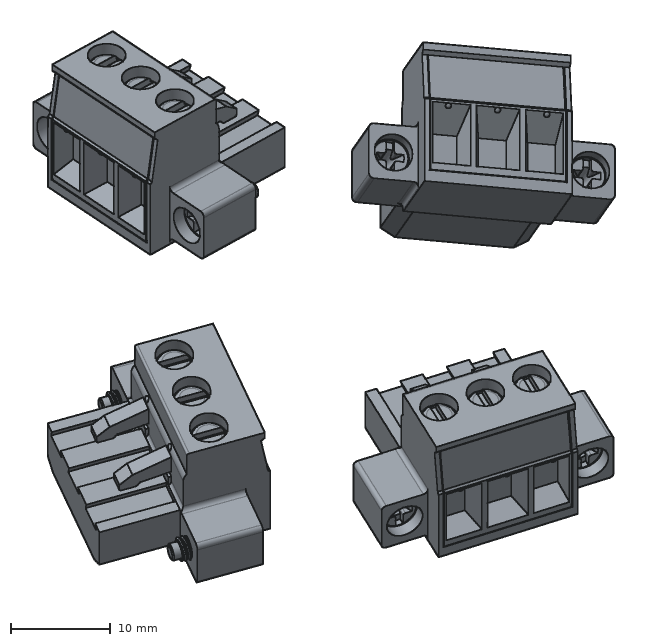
import cadquery as cq
import math


pole_count = 3
pole_pitch = 5.08
body_width = 15.25
body_height = 15.1
body_rear = 8.92
shelf_rear = 9.3
flange_rear = 9.63
foot_chamfer = 0.18
top_rounding = 0.25

front_face_top = 8.85
slope_foot_y = 0.23
slope_foot_z = 9.07
slope_head_y = 1.0
slope_head_z = 13.92
brow_y = 0.58
brow_z = 14.3

bulge_top = 12.01
bulge_foot = 11.02

plug_tip = 18.2
plug_bottom = 0.85
plug_top = 6.73
plug_bevel_height = 0.9
plug_bevel_width = 1.52
plug_rib_width = 2.45
plug_end_rib = 1.25
channel_depth = 0.75
channel_undercut = 0.2

overall_width = 25.4
flange_front = 2.62
flange_rounding = 0.5
shelf_foot = plug_top + flange_rounding
flange_middle_z = (plug_bottom + plug_top) / 2

insert_middle = -0.03
insert_width = 13.92
insert_bottom = 1.3
groove_half_width = 7.09
groove_bottom = 1.22
groove_floor_y = 1.27

mouth_width = 4.47
mouth_bottom = 2.05
mouth_top = 8.59
mouth_limit = 6.73
entry_end_width = 2.87
entry_end_bottom = 2.85
entry_end_top = 6.05
entry_depth = 2.45
tip_radius = 0.43

clamp_y = 5.65
clamp_radius = 1.9
clamp_depth = 1.02
clamp_rounding = 0.53
clamp_slot_width = 0.81
clamp_slot_depth = 0.81

flange_screw_x = 10.15
flange_screw_radius = 1.95
flange_screw_depth = 1.35
flange_screw_rounding = 0.08
head_gap = 0.1
cross_slot_width = 0.85
cross_slot_depth = 0.75
cross_arm_width = 0.75
cross_arm_reach = 1.42
cross_floor_reach = 1.1
cross_corner = 0.25
thread_root_radius = 1.07
thread_crest_radius = 1.3
thread_pitch = 0.45
thread_turns = 3
thread_base = 0.4
thread_overlap = 0.08
thread_runout = 0.1
thread_end = 10.65
pilot_radius = 0.9
pilot_end = 11.63
pilot_chamfer = 0.15

latch_x = 3.35
latch_width = 1.63
latch_root_y = 9.02
latch_root_top = 11.05
latch_root_bottom = 8.76
latch_bend_y = 13.44
latch_bend_z = 9.85
latch_tip_y = 14.83
latch_nose_z = 8.86
latch_tip_bevel = 0.13
latch_hook_y = 13.03
latch_hook_z = 7.95
latch_throat_y = 12.6
latch_throat_z = 8.4
latch_stop_top = 7.98
button_radius = 0.43
button_y = 8.95
button_z = 11.45

pole_positions = [(i - (pole_count - 1) / 2) * pole_pitch for i in range(pole_count)]


def span_box(x0, x1, y0, y1, z0, z1):
    """Box given by its limits along each axis."""
    return cq.Workplane("XY").box(x1 - x0, y1 - y0, z1 - z0, centered=False).translate((x0, y0, z0))


def side_prism(points, middle_x, width):
    """Prism along X whose (y, z) outline is given."""
    prism = cq.Workplane("YZ").polyline(points).close().extrude(width / 2, both=True)
    return prism.translate((middle_x, 0, 0))


def make_body(width):
    """Side outline of the body, extruded to the given width."""
    bulge = shelf_rear - body_rear
    rise = bulge_top - bulge_foot
    bulge_radius = (bulge**2 + rise**2) / (2 * bulge)
    half_angle = math.asin(rise / bulge_radius) / 2
    swell_y = shelf_rear - bulge_radius * (1 - math.cos(half_angle))
    swell_z = bulge_foot + bulge_radius * math.sin(half_angle)
    cove_y = shelf_rear + flange_rounding
    cove_end_z = shelf_foot - math.sqrt(flange_rounding**2 - (cove_y - flange_rear) ** 2)
    outline = (
        cq.Workplane("YZ")
        .polyline([
            (0, 0),
            (0, front_face_top),
            (slope_foot_y, slope_foot_z),
            (slope_head_y, slope_head_z),
            (brow_y, brow_z),
            (brow_y, body_height),
            (body_rear - top_rounding, body_height),
        ])
        .tangentArcPoint((body_rear, body_height - top_rounding), relative=False)
        .lineTo(body_rear, bulge_top)
        .threePointArc((swell_y, swell_z), (shelf_rear, bulge_foot))
        .lineTo(shelf_rear, shelf_foot)
        .tangentArcPoint((flange_rear, cove_end_z), relative=False)
        .lineTo(flange_rear, plug_bottom)
        .lineTo(body_rear, plug_bottom)
        .lineTo(body_rear, foot_chamfer)
        .lineTo(body_rear - foot_chamfer, 0)
        .close()
    )
    return outline.extrude(width / 2, both=True)


def make_plug():
    """Plug with dovetail channels along its top and bevelled lower edges."""
    half = body_width / 2
    plug = span_box(-half, half, body_rear, plug_tip, plug_bottom, plug_top)
    for x in (-half, half):
        bevel = cq.Workplane("XZ", origin=(0, plug_tip, plug_bottom)).polyline([
            (x, 0),
            (x, plug_bevel_height),
            (x - math.copysign(plug_bevel_width, x), 0),
        ])
        plug = plug.cut(bevel.close().extrude(plug_tip - flange_rear))
    channel_width = pole_pitch - plug_rib_width
    outer_channel_edge = half - plug_end_rib
    rib_edge = pole_pitch / 2 + plug_rib_width / 2
    channels = [
        (-outer_channel_edge, -rib_edge),
        (-channel_width / 2, channel_width / 2),
        (rib_edge, outer_channel_edge),
    ]
    floor_z = plug_top - channel_depth
    for left, right in channels:
        outline = [
            (left, plug_top),
            (right, plug_top),
            (right + channel_undercut, floor_z),
            (left - channel_undercut, floor_z),
        ]
        channel = cq.Workplane("XZ").polyline(outline).close().extrude(-(plug_tip - flange_rear))
        plug = plug.cut(channel.translate((0, flange_rear, 0)))
    return plug


def make_flanges():
    """Bar with rounded ends across the body, blended into its sides by concave fillets."""
    bar_end = overall_width / 2
    blend_start = body_width / 2
    blend_end = blend_start + flange_rounding
    bar = span_box(-bar_end, bar_end, flange_front, flange_rear, plug_bottom, plug_top)
    bar = bar.edges("|Y").fillet(flange_rounding)
    blend = span_box(-blend_end, blend_end, flange_front, flange_rear,
                     plug_bottom - flange_rounding, plug_top + flange_rounding)
    for x in (-blend_end, blend_end):
        for z in (plug_bottom - flange_rounding, plug_top + flange_rounding):
            round_off = cq.Workplane("XZ", origin=(x, flange_front, z)).circle(flange_rounding)
            blend = blend.cut(round_off.extrude(flange_front - flange_rear))
    blend = blend.intersect(make_body(2 * blend_end))
    return bar.union(blend)


def make_latch(x):
    """Latch arm, the stop below its root and the round button above it."""
    arm_outline = [
        (latch_root_y, latch_root_top),
        (latch_bend_y, latch_bend_z),
        (latch_tip_y, latch_nose_z),
        (latch_tip_y, latch_hook_z + latch_tip_bevel),
        (latch_tip_y - latch_tip_bevel, latch_hook_z),
        (latch_hook_y, latch_hook_z),
        (latch_throat_y, latch_throat_z),
        (latch_root_y, latch_root_bottom),
    ]
    arm = side_prism(arm_outline, x, latch_width)
    stop = span_box(x - latch_width / 2, x + latch_width / 2, body_rear, flange_rear,
                    plug_top - channel_depth, latch_stop_top)
    button = cq.Workplane("XY").sphere(button_radius).translate((x, button_y, button_z))
    return arm.union(stop).union(button)


def make_insert_groove():
    """Gap between the frame opening and the insert that fills it."""
    half = insert_width / 2
    opening = span_box(-groove_half_width, groove_half_width, 0, groove_floor_y,
                       groove_bottom, slope_head_z)
    insert = span_box(insert_middle - half, insert_middle + half, 0, groove_floor_y,
                      insert_bottom, slope_head_z)
    return opening.cut(insert)


def make_wire_entry(pole_x):
    """Tapered funnel; the outer poles have their mouths trimmed by the edge of the insert."""
    left = max(pole_x - mouth_width / 2, -mouth_limit)
    right = min(pole_x + mouth_width / 2, mouth_limit)
    mouth_z = (mouth_bottom + mouth_top) / 2
    end_z = (entry_end_bottom + entry_end_top) / 2
    return (
        cq.Workplane("XZ")
        .center((left + right) / 2, mouth_z)
        .rect(right - left, mouth_top - mouth_bottom)
        .workplane(offset=-entry_depth)
        .center(pole_x - (left + right) / 2, end_z - mouth_z)
        .rect(entry_end_width, entry_end_top - entry_end_bottom)
        .loft(ruled=True)
        .translate((insert_middle, 0, 0))
    )


def make_head_recess(radius, depth, rounding):
    """Hole with its mouth at Z = 0 that leaves a round-edged screw head standing on its floor."""
    hole = cq.Workplane("XY").circle(radius).extrude(-depth - rounding)
    head = cq.Workplane("XY").workplane(offset=-depth - 2 * rounding).circle(radius - head_gap)
    head = head.extrude(2 * rounding).faces(">Z").edges().fillet(rounding)
    return hole.cut(head)


def make_clamp_recess(x):
    """Hole over a clamping screw, with a straight slot in the screw head."""
    recess = make_head_recess(clamp_radius, clamp_depth, clamp_rounding)
    head_radius = clamp_radius - head_gap
    slot_floor = clamp_depth + clamp_slot_depth
    slot = cq.Workplane("XY").rect(clamp_slot_width, 2 * head_radius).extrude(-slot_floor)
    slot = slot.intersect(cq.Workplane("XY").circle(head_radius).extrude(-slot_floor))
    return recess.union(slot).translate((x, clamp_y, body_height))


def make_clamp_tip(x):
    """Round tip that shows below the ceiling of a wire entry, just behind its mouth."""
    return cq.Workplane("XY").sphere(tip_radius).translate((x + insert_middle, tip_radius, mouth_top))


def make_flange_recess(x):
    """Screw head recess with a straight slot and a conical cross, opening toward -Y."""
    recess = make_head_recess(flange_screw_radius, flange_screw_depth, flange_screw_rounding)
    radius = flange_screw_radius - head_gap
    cone_depth = cross_slot_depth * cross_arm_reach / (cross_arm_reach - cross_floor_reach)

    cross = cq.Workplane("XY").rect(cross_slot_width, 2 * radius).extrude(-cone_depth)
    cross = cross.union(cq.Workplane("XY").rect(2 * cross_arm_reach, cross_arm_width).extrude(-cone_depth))
    inner_corners = cq.selectors.BoxSelector(
        (-cross_slot_width, -cross_arm_width, -cone_depth), (cross_slot_width, cross_arm_width, 0)
    )
    cross = cross.edges(inner_corners).edges("|Z").fillet(cross_corner)

    cone = cq.Workplane(cq.Solid.makeCone(cross_arm_reach, 0, cone_depth, dir=cq.Vector(0, 0, -1)))
    slot_zone = cq.Workplane("XY").rect(cross_slot_width, 2 * radius).extrude(-cross_slot_depth)
    slot_zone = slot_zone.intersect(cq.Workplane("XY").circle(radius).extrude(-cross_slot_depth))
    cross = cross.intersect(cone.union(slot_zone)).translate((0, 0, -flange_screw_depth))

    tool = recess.union(cross)
    return tool.rotate((0, 0, 0), (1, 0, 0), 90).translate((x, flange_front, flange_middle_z))


def make_screw_end(x):
    """Threaded end of a flange screw, with a plain pilot at its tip."""
    start = thread_end - thread_runout - thread_turns * thread_pitch
    length = thread_end - start
    root = thread_root_radius
    buried_base = root - thread_overlap
    half_base = thread_base / 2

    core = cq.Workplane("XY").circle(root).extrude(length)
    helix = cq.Wire.makeHelix(thread_pitch, (thread_turns + 0.5) * thread_pitch, root)
    ridge = (
        cq.Workplane("XZ")
        .polyline([(buried_base, -half_base), (thread_crest_radius, 0), (buried_base, half_base)])
        .close()
        .sweep(cq.Workplane(helix), isFrenet=True)
    )
    ridge = ridge.intersect(cq.Workplane("XY").circle(2 * root).extrude(length))
    pilot = cq.Workplane("XY").circle(pilot_radius).extrude(pilot_end - start)
    pilot = pilot.faces(">Z").chamfer(pilot_chamfer)
    screw = core.union(ridge).union(pilot)
    return screw.rotate((0, 0, 0), (1, 0, 0), -90).translate((x, start, flange_middle_z))


result = make_body(body_width).union(make_plug()).union(make_flanges())
for side in (-1, 1):
    result = result.union(make_latch(side * latch_x))

result = result.cut(make_insert_groove())
for pole_x in pole_positions:
    result = result.cut(make_wire_entry(pole_x))
    result = result.cut(make_clamp_recess(pole_x))
    result = result.union(make_clamp_tip(pole_x))

for side in (-1, 1):
    result = result.cut(make_flange_recess(side * flange_screw_x))
    result = result.union(make_screw_end(side * flange_screw_x))